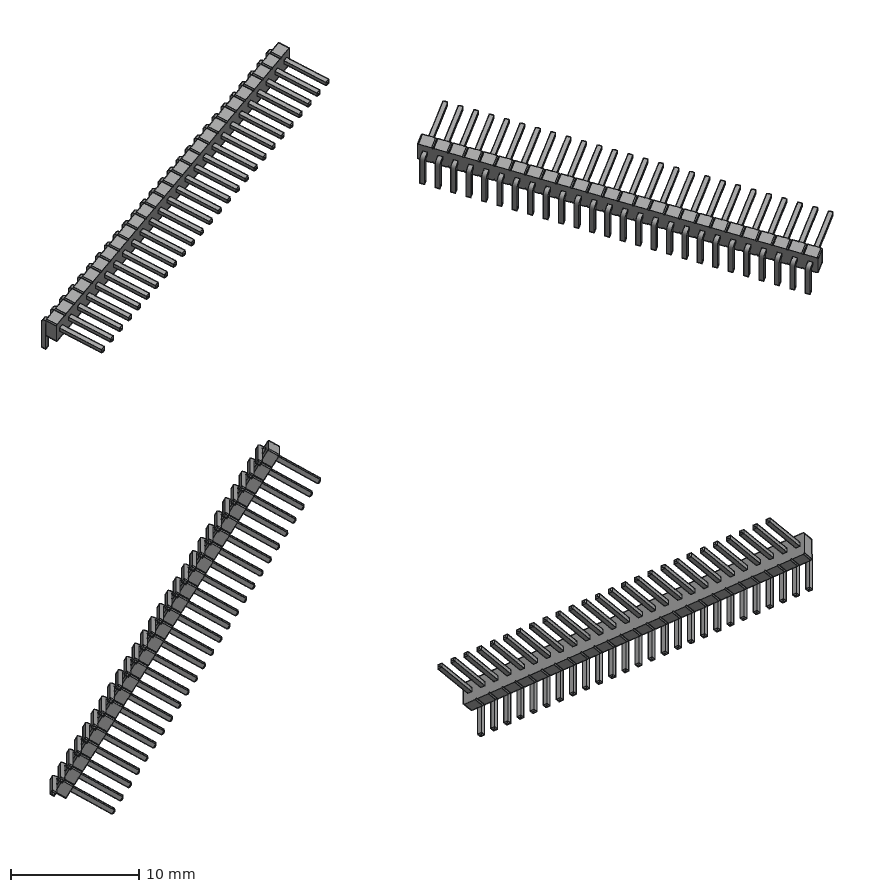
import cadquery as cq

pin_count = 26
row_length = 33.02
pitch = row_length / pin_count

body_width = 1.0
body_height = 2.1
body_chamfer = 0.1

pin_size = 0.4
pin_length = 5.7
pin_drop = 3.7
bend_radius = 0.4
tip_chamfer = 0.1

body_offset = 0.7
body_top = 0.8


def make_cell(y_center):
    """One body cell with its Y-end edges chamfered at top and bottom."""
    return (
        cq.Workplane("XY")
        .box(body_width, pitch, body_height)
        .edges("|X")
        .chamfer(body_chamfer)
        .translate((body_offset + body_width / 2, y_center, body_top - body_height / 2))
    )


def make_pin(y_center):
    """One square pin, bent down at X = 0 and tapered at both tips."""
    pin = (
        cq.Workplane("XZ")
        .polyline([
            (0, 0),
            (pin_length, 0),
            (pin_length, -pin_size),
            (pin_size, -pin_size),
            (pin_size, -pin_drop),
            (0, -pin_drop),
        ])
        .close()
        .extrude(pin_size / 2, both=True)
    )
    pin = pin.faces("<X").edges(">Z").fillet(bend_radius)
    pin = pin.faces(">X").chamfer(tip_chamfer)
    pin = pin.faces("<Z").chamfer(tip_chamfer)
    return pin.translate((0, y_center, 0))


result = cq.Workplane("XY")
for index in range(pin_count):
    row_position = (index + 0.5) * pitch - row_length / 2
    result = result.add(make_cell(row_position)).add(make_pin(row_position))
result = result.combine()